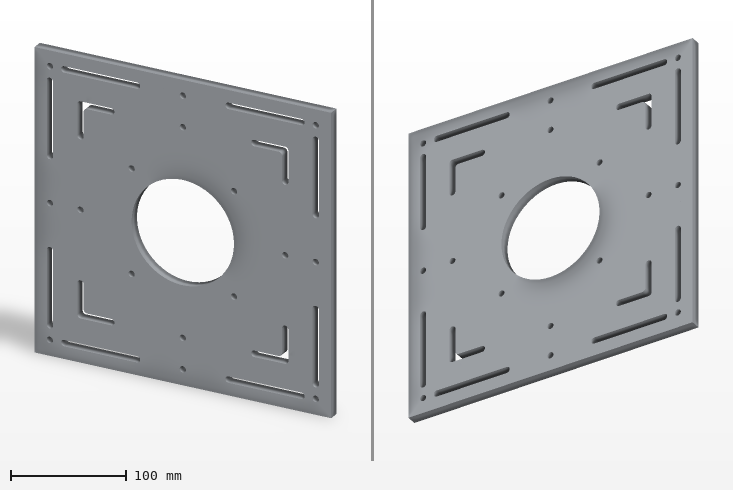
import cadquery as cq

plate_side = 290.0
plate_thickness = 10.0

bore_diameter = 100.0
hole_diameter = 6.0
slot_width = hole_diameter
rim_offset = 130.0
inner_offset = 100.0
bolt_offset = bore_diameter / 2
slot_outer_end = 116.0
slot_inner_end = 44.7
corner_slot_end = 70.0
corner_inner_fillet = 3.5


def corners(offset):
    return [(x, z) for x in (-offset, offset) for z in (-offset, offset)]


def axis_points(offset):
    return [(-offset, 0), (offset, 0), (0, -offset), (0, offset)]


def through_cutter(sketch):
    """Extrude a sketch on the XZ plane through the whole plate."""
    return sketch.extrude(plate_thickness / 2, both=True)


def straight_slots():
    """Two slots along each side of the plate."""
    length = slot_outer_end - slot_inner_end + slot_width
    middle = (slot_outer_end + slot_inner_end) / 2
    along_x = [(x, z) for x in (-middle, middle) for z in (-rim_offset, rim_offset)]
    along_z = [(z, x) for x, z in along_x]
    horizontal = cq.Workplane("XZ").pushPoints(along_x).slot2D(length, slot_width)
    vertical = cq.Workplane("XZ").pushPoints(along_z).slot2D(length, slot_width, 90)
    return through_cutter(horizontal).union(through_cutter(vertical))


def corner_slot():
    """L-shaped slot in the +X +Z corner, with rounded ends and bend."""
    radius = slot_width / 2
    outer = inner_offset + radius
    inner = inner_offset - radius
    end = corner_slot_end
    bend = inner - corner_inner_fillet
    outline = (
        cq.Workplane("XZ")
        .moveTo(end, outer)
        .lineTo(inner_offset, outer)
        .radiusArc((outer, inner_offset), radius)
        .lineTo(outer, end)
        .threePointArc((inner_offset, end - radius), (inner, end))
        .lineTo(inner, bend)
        .radiusArc((bend, inner), -corner_inner_fillet)
        .lineTo(end, inner)
        .threePointArc((end - radius, inner_offset), (end, outer))
        .close()
    )
    return through_cutter(outline)


plate = cq.Workplane("XZ").rect(plate_side, plate_side).extrude(plate_thickness / 2, both=True)

bore = through_cutter(cq.Workplane("XZ").circle(bore_diameter / 2))

hole_points = (
    corners(rim_offset)
    + axis_points(rim_offset)
    + axis_points(inner_offset)
    + corners(bolt_offset)
)
holes = through_cutter(cq.Workplane("XZ").pushPoints(hole_points).circle(hole_diameter / 2))

result = plate.cut(bore).cut(holes).cut(straight_slots())
for quarter_turn in range(4):
    result = result.cut(corner_slot().rotate((0, 0, 0), (0, 1, 0), 90 * quarter_turn))